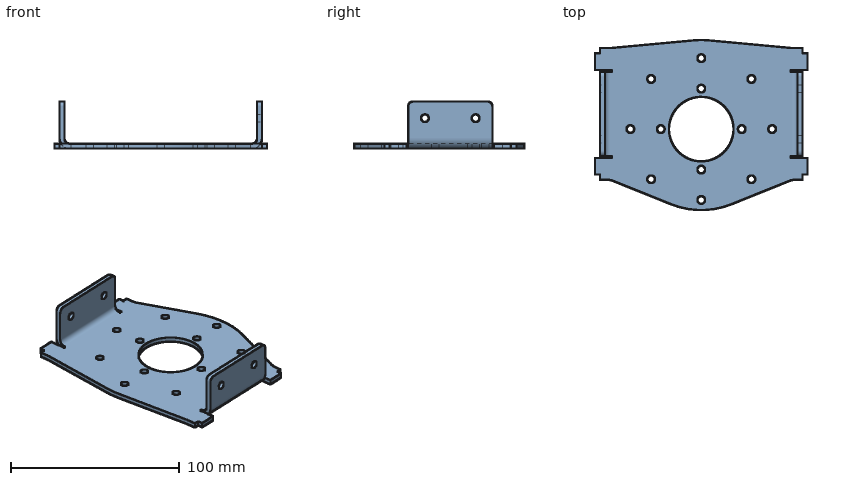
import cadquery as cq
import math

thickness = 3.0
half_width = 63.0
shoulder_x = half_width - thickness
corner_x = 54.0
front_corner_radius = 10.1
back_shoulder_y = 48.0
front_shoulder_y = -30.0
step_depth = thickness
back_apex_y = 52.8
back_nose_radius = 48.0
front_nose_radius = 48.0

flange_height = 28.0
flange_length = 50.0
flange_center_y = 9.0
inner_bend_radius = 3.0
outer_bend_radius = inner_bend_radius + thickness
flange_corner_radius = 3.0
flange_hole_spacing = 30.0
flange_hole_z = 18.0

relief_gap = 1.0
notch_x = 53.0

bore_diameter = 38.0
screw_diameter = 4.4
outer_ring_radius = 42.0
outer_ring_count = 8
inner_ring_radius = 24.0
inner_ring_count = 4


def slope_tangent(nose_center_y, nose_radius, corner_y):
    """Right-hand point where a line from the plate corner touches a nose arc."""
    rise = corner_y - nose_center_y
    distance = math.hypot(corner_x, rise)
    to_corner = math.atan2(rise, corner_x)
    turn = math.acos(nose_radius / distance)
    angle = to_corner + math.copysign(turn, rise)
    return (nose_radius * math.cos(angle), nose_center_y + nose_radius * math.sin(angle))


def make_plate():
    back_x, back_y = slope_tangent(back_apex_y - back_nose_radius, back_nose_radius, back_shoulder_y)
    front_x, front_y = slope_tangent(0, front_nose_radius, front_shoulder_y)
    back_step_y = back_shoulder_y - step_depth
    front_step_y = front_shoulder_y + step_depth
    plate = (
        cq.Workplane("XY")
        .moveTo(-back_x, back_y)
        .threePointArc((0, back_apex_y), (back_x, back_y))
        .lineTo(corner_x, back_shoulder_y)
        .lineTo(shoulder_x, back_shoulder_y)
        .lineTo(shoulder_x, back_step_y)
        .lineTo(half_width, back_step_y)
        .lineTo(half_width, front_step_y)
        .lineTo(shoulder_x, front_step_y)
        .lineTo(shoulder_x, front_shoulder_y)
        .lineTo(corner_x, front_shoulder_y)
        .lineTo(front_x, front_y)
        .threePointArc((0, -front_nose_radius), (-front_x, front_y))
        .lineTo(-corner_x, front_shoulder_y)
        .lineTo(-shoulder_x, front_shoulder_y)
        .lineTo(-shoulder_x, front_step_y)
        .lineTo(-half_width, front_step_y)
        .lineTo(-half_width, back_step_y)
        .lineTo(-shoulder_x, back_step_y)
        .lineTo(-shoulder_x, back_shoulder_y)
        .lineTo(-corner_x, back_shoulder_y)
        .close()
        .extrude(thickness)
    )
    for side in (-1, 1):
        corner = cq.selectors.NearestToPointSelector((side * corner_x, front_shoulder_y, thickness / 2))
        plate = plate.edges(corner).fillet(front_corner_radius)
    return plate


def cut_notches(plate):
    depth = half_width - notch_x
    notches = (
        cq.Workplane("XY")
        .pushPoints([(side * (notch_x + depth / 2), flange_center_y) for side in (-1, 1)])
        .rect(depth, flange_length + 2 * relief_gap)
        .extrude(thickness)
    )
    return plate.cut(notches)


def make_flange():
    """Right-hand flange with its bend and a short tongue joining the plate."""
    bend_x = shoulder_x - outer_bend_radius
    diagonal = math.sqrt(0.5)
    flange = (
        cq.Workplane("XZ", origin=(0, flange_center_y, 0))
        .moveTo(notch_x, 0)
        .lineTo(bend_x, 0)
        .threePointArc(
            (bend_x + outer_bend_radius * diagonal, outer_bend_radius * (1 - diagonal)),
            (shoulder_x, outer_bend_radius),
        )
        .lineTo(shoulder_x, flange_height)
        .lineTo(shoulder_x - thickness, flange_height)
        .lineTo(shoulder_x - thickness, outer_bend_radius)
        .threePointArc(
            (bend_x + inner_bend_radius * diagonal, outer_bend_radius - inner_bend_radius * diagonal),
            (bend_x, thickness),
        )
        .lineTo(notch_x, thickness)
        .close()
        .extrude(flange_length / 2, both=True)
    )
    flange = flange.faces(">Z").edges("|X").fillet(flange_corner_radius)
    holes = (
        cq.Workplane("YZ", origin=(shoulder_x - thickness, flange_center_y, flange_hole_z))
        .pushPoints([(side * flange_hole_spacing / 2, 0) for side in (-1, 1)])
        .circle(screw_diameter / 2)
        .extrude(thickness)
    )
    return flange.cut(holes)


def make_plate_holes():
    holes = cq.Workplane("XY").circle(bore_diameter / 2).extrude(thickness)
    rings = ((outer_ring_radius, outer_ring_count), (inner_ring_radius, inner_ring_count))
    for radius, count in rings:
        ring = (
            cq.Workplane("XY")
            .polarArray(radius, 0, 360, count)
            .circle(screw_diameter / 2)
            .extrude(thickness)
        )
        holes = holes.union(ring)
    return holes


right_flange = make_flange()
left_flange = right_flange.mirror("YZ")
plate = cut_notches(make_plate()).cut(make_plate_holes())
result = plate.union(right_flange).union(left_flange).clean()